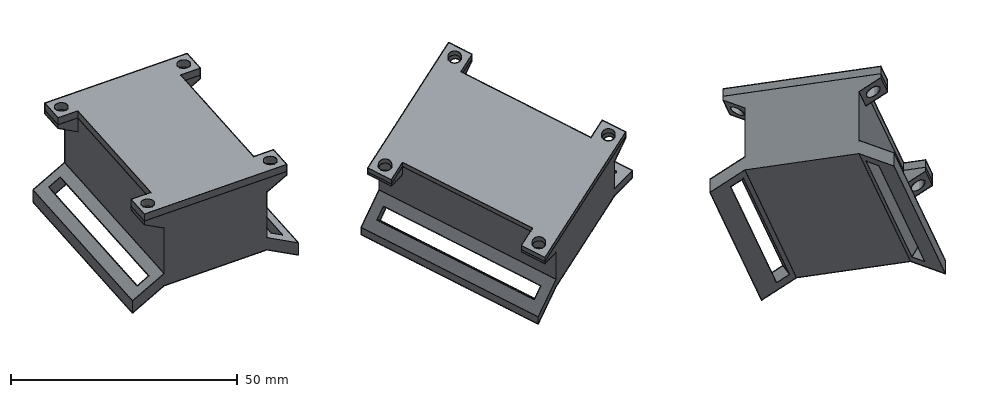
import cadquery as cq
import math

LENGTH = 45.0
LID_WIDTH = 36.0
BLOCK_WIDTH = 26.0
WING_SPAN = 42.0
SLOPE = math.radians(30)

HEIGHT = 26.8
LID_THICKNESS = 2.0
LID_BOTTOM = HEIGHT - LID_THICKNESS

EAR_LENGTH = 6.0
EAR_EDGE = 1.05
EAR_REACH = (LID_WIDTH - BLOCK_WIDTH) / 2
HOLE_DIAMETER = 3.0
HOLE_INSET = 2.95
HOLE_EDGE = 2.5

WING_THICKNESS = 3.0
WING_RISE = WING_THICKNESS / math.cos(SLOPE)
WING_REACH = (WING_SPAN - BLOCK_WIDTH) / 2
BLOCK_BOTTOM = WING_REACH * math.tan(SLOPE)
SLOT_LENGTH = 39.95
SLOT_WIDTH = 3.38
SLOT_START = 2.85


def extrude_profile(points, length):
    """Extrude a (Y, Z) outline along X, centred on X = 0."""
    return cq.Workplane("YZ").polyline(points).close().extrude(length / 2, both=True)


def make_block():
    return (
        cq.Workplane("XY")
        .workplane(offset=BLOCK_BOTTOM)
        .rect(LENGTH, BLOCK_WIDTH)
        .extrude(LID_BOTTOM - BLOCK_BOTTOM)
    )


def make_wing():
    """Wing on the +Y side, sloping down and outward, with its strap slot."""
    wall = BLOCK_WIDTH / 2
    tip = WING_SPAN / 2
    root_top = BLOCK_BOTTOM + WING_RISE
    wing = extrude_profile(
        [(wall, BLOCK_BOTTOM), (tip, 0), (tip, WING_RISE), (wall, root_top)],
        LENGTH,
    )
    slot_middle = SLOT_START + SLOT_WIDTH / 2
    slot = (
        cq.Workplane("XY")
        .box(SLOT_LENGTH, SLOT_WIDTH, 3 * WING_THICKNESS)
        .rotate((0, 0, 0), (1, 0, 0), -math.degrees(SLOPE))
        .translate((
            0,
            wall + slot_middle * math.cos(SLOPE),
            root_top - slot_middle * math.sin(SLOPE),
        ))
    )
    return wing.cut(slot)


def make_ear():
    """Screw ear at the +X, +Y corner, with a sloping underside."""
    wall = BLOCK_WIDTH / 2
    edge = LID_WIDTH / 2
    edge_bottom = LID_BOTTOM - EAR_EDGE
    root_bottom = edge_bottom - EAR_REACH * math.tan(SLOPE)
    return extrude_profile(
        [(wall, LID_BOTTOM), (edge, LID_BOTTOM), (edge, edge_bottom), (wall, root_bottom)],
        EAR_LENGTH,
    ).translate(((LENGTH - EAR_LENGTH) / 2, 0, 0))


def make_screw_holes():
    """Four vertical drills through lid and ears, starting above the wings."""
    return (
        cq.Workplane("XY")
        .rect(LENGTH - 2 * HOLE_INSET, LID_WIDTH - 2 * HOLE_EDGE, forConstruction=True)
        .vertices()
        .circle(HOLE_DIAMETER / 2)
        .extrude(HEIGHT)
        .translate((0, 0, HEIGHT / 2))
    )


def make_housing():
    ear = make_ear()
    housing = make_block()
    for feature in (make_wing(), ear, ear.mirror("YZ")):
        housing = housing.union(feature).union(feature.mirror("XZ"))
    return housing.cut(make_screw_holes())


def make_lid():
    """Flat lid, notched along both sides between the screw ears."""
    lid = (
        cq.Workplane("XY")
        .workplane(offset=LID_BOTTOM)
        .rect(LENGTH, BLOCK_WIDTH)
        .extrude(LID_THICKNESS)
    )
    for side in (-1, 1):
        end_strip = (
            cq.Workplane("XY")
            .workplane(offset=LID_BOTTOM)
            .center(side * (LENGTH - EAR_LENGTH) / 2, 0)
            .rect(EAR_LENGTH, LID_WIDTH)
            .extrude(LID_THICKNESS)
        )
        lid = lid.union(end_strip)
    return lid.cut(make_screw_holes())


housing = make_housing()
lid = make_lid()
result = cq.Compound.makeCompound([housing.val(), lid.val()])